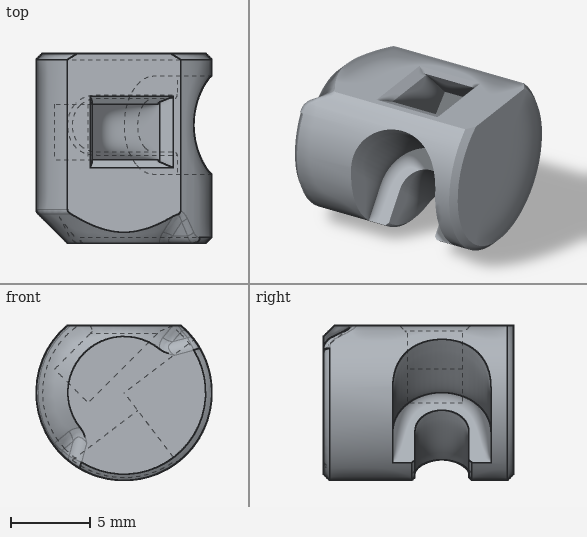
import cadquery as cq
import math

length = 12.0
radius = 5.55
flat_height = 4.25
edge_break = 0.4
reach = 18.0

bevel = 2.0
bevel_wall_turn = 15.0
bevel_wall_slope = 30.0
bevel_fillet = 1.0
bevel_wall_run_out = 1.46
fillet_half_turn = math.radians((90 - bevel_wall_slope) / 2)
bevel_wall_offset = bevel_wall_run_out + bevel_fillet * math.tan(fillet_half_turn)
wedge_overrun = 0.6

pocket_x = 0.48
pocket_y = 7.03
pocket_thickness = 3.0
pocket_width = 3.48
pocket_angle = 45.0
pocket_depth = 5.4
pocket_chamfer = 0.5

channel_y = 7.48
channel_angle = 37.3
bore_diameter = 6.2
slot_diameter = 3.41
slot_chamfer = 0.19
channel_offset = bore_diameter / 2

shoulder = 0.0

surface_tolerance = 0.006


def cylinder_of(size, depth):
    """Cylinder along +Y from the front face."""
    return cq.Workplane("XZ").circle(size).extrude(-depth)


def corner_ring(size):
    """Ring outside a 45 degree cone at the front edge."""
    cone = cq.Solid.makeCone(radius - size, radius, size, dir=cq.Vector(0, 1, 0))
    return cylinder_of(radius + edge_break, size).cut(cq.Workplane(obj=cone))


def upper_left_wedge(offset, depth, slope=0):
    """Region beyond two walls that mirror each other about the upper-left diagonal."""
    turn = math.radians(bevel_wall_turn)
    corner = offset / (math.cos(turn) + math.sin(turn))
    across = reach * math.cos(turn)
    rise = reach * math.sin(turn)
    points = [
        (-corner, corner),
        (-corner + across, corner + rise),
        (-corner + across - reach, corner + rise + reach),
        (-corner - rise - reach, corner - across + reach),
        (-corner - rise, corner - across),
    ]
    return cq.Workplane("XZ").polyline(points).close().extrude(-depth, taper=slope)


def on_cylinder(edge):
    """True for an edge that lies on the outer cylinder."""
    points = [edge.positionAt(fraction) for fraction in (0.1, 0.5, 0.9)]
    return all(abs(math.hypot(p.x, p.z) - radius) < surface_tolerance for p in points)


def make_body():
    """Cylinder with the partial bevel, broken edges and the flat."""
    wall_wedge = upper_left_wedge(bevel_wall_offset, bevel + wedge_overrun, bevel_wall_slope)
    body = cylinder_of(radius, length).cut(corner_ring(bevel).intersect(wall_wedge))

    body = body.edges("%LINE and (not |Y)").fillet(bevel_fillet)
    body = body.edges("%HYPERBOLA").fillet(bevel_fillet)

    front_edges = [
        edge
        for edge in body.edges("not |Y").vals()
        if on_cylinder(edge) and edge.Center().y < length / 2
    ]
    body = body.newObject(front_edges).fillet(edge_break)

    rounded_sector = upper_left_wedge(bevel_wall_run_out, edge_break)
    body = body.cut(corner_ring(edge_break).cut(rounded_sector))
    body = body.faces(">Y").edges().chamfer(edge_break)

    flat_waste = cq.Workplane().box(reach, 2 * reach, reach)
    return body.cut(flat_waste.translate((0, 0, flat_height + reach / 2)))


def cut_pocket(body):
    """Cut the slanted pocket, running down toward -X, and chamfer its mouth."""
    angle = math.radians(pocket_angle)
    plane = cq.Plane(
        origin=(pocket_x, pocket_y, flat_height),
        xDir=(0, 1, 0),
        normal=(-math.cos(angle), 0, -math.sin(angle)),
    )
    above_flat = pocket_thickness
    section = cq.Workplane(plane).workplane(offset=-above_flat).rect(pocket_width, pocket_thickness)
    body = body.cut(section.extrude(pocket_depth + above_flat))
    mouth = body.faces(">Z").val().innerWires()[0]
    return body.newObject(mouth.Edges()).chamfer(pocket_chamfer)


def channel_part(width, start, end):
    """U-shaped tool along the channel axis, between two positions on that axis."""
    angle = math.radians(channel_angle)
    plane = cq.Plane(
        origin=(0, channel_y, 0),
        xDir=(math.sin(angle), 0, -math.cos(angle)),
        normal=(math.cos(angle), 0, math.sin(angle)),
    )
    profile = cq.Workplane(plane).workplane(offset=start).center(channel_offset, 0)
    rounded = profile.circle(width / 2).extrude(end - start)
    opening = profile.center(radius / 2, 0).rect(radius, width).extrude(end - start)
    return rounded.union(opening)


def cut_channel(body):
    """Cut the narrow slot, chamfer its rim, then cut the wide bore."""
    body = body.cut(channel_part(slot_diameter, -reach, shoulder))
    rim = [
        edge
        for edge in body.edges().vals()
        if on_cylinder(edge) and edge.Center().z < 0 and abs(edge.Center().y - channel_y) < slot_diameter
    ]
    body = body.newObject(rim).chamfer(slot_chamfer)
    return body.cut(channel_part(bore_diameter, shoulder, reach))


result = cut_channel(cut_pocket(make_body()))